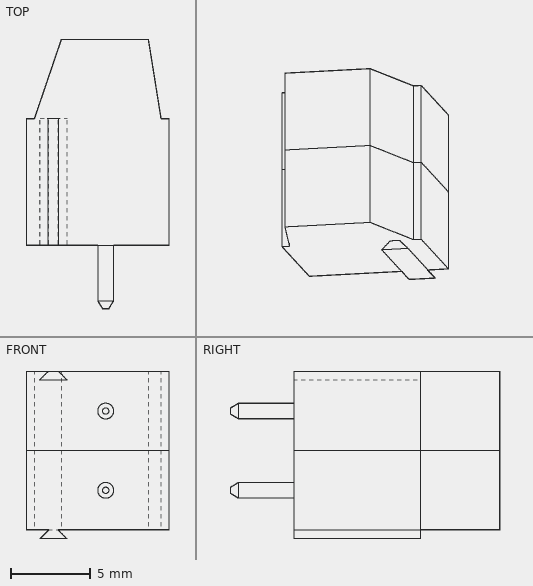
import cadquery as cq


module_height = 5.0
left_width = 5.0
right_width = 4.0
base_length = 8.0
nose_length = 5.0
shoulder_width = 0.5
nose_left_width = 2.8
nose_right_width = 2.7

dovetail_height = 0.55
dovetail_offset = 1.7
rail_neck_width = 0.6
dovetail_clearance = 0.05

pin_diameter = 1.0
pin_length = 4.0
pin_tip_length = 0.5
pin_tip_diameter = 0.4

dovetail_x = dovetail_offset - left_width
stack_height = 2 * module_height


def make_module(bottom_z):
    """Housing with a tapered nose towards +Y and its solder pin."""
    nose_end = base_length + nose_length
    housing = (
        cq.Workplane("XY")
        .workplane(offset=bottom_z)
        .moveTo(-left_width, 0)
        .lineTo(right_width, 0)
        .lineTo(right_width, base_length)
        .lineTo(right_width - shoulder_width, base_length)
        .lineTo(nose_right_width, nose_end)
        .lineTo(-nose_left_width, nose_end)
        .lineTo(-left_width + shoulder_width, base_length)
        .lineTo(-left_width, base_length)
        .close()
        .extrude(module_height)
    )
    return housing.union(make_pin(bottom_z + module_height / 2))


def make_pin(axis_z):
    """Round pin with a conical tip, pointing to -Y."""
    radius = pin_diameter / 2
    tip_radius = pin_tip_diameter / 2
    return (
        cq.Workplane("XY")
        .moveTo(0, 0)
        .lineTo(radius, 0)
        .lineTo(radius, -pin_length + pin_tip_length)
        .lineTo(tip_radius, -pin_length)
        .lineTo(0, -pin_length)
        .close()
        .revolve(360, (0, 0, 0), (0, 1, 0))
        .translate((0, 0, axis_z))
    )


def make_dovetail(neck_width, neck_z):
    """Dovetail bar with 45-degree flanks that widens downwards from neck_z."""
    half_neck = neck_width / 2
    half_foot = half_neck + dovetail_height
    foot_z = neck_z - dovetail_height
    return (
        cq.Workplane("XZ")
        .moveTo(dovetail_x - half_neck, neck_z)
        .lineTo(dovetail_x + half_neck, neck_z)
        .lineTo(dovetail_x + half_foot, foot_z)
        .lineTo(dovetail_x - half_foot, foot_z)
        .close()
        .extrude(-base_length)
    )


lower_module = make_module(0).union(make_dovetail(rail_neck_width, 0))

slot_neck_width = rail_neck_width + dovetail_clearance
upper_module = make_module(module_height).cut(make_dovetail(slot_neck_width, stack_height))

result = cq.Compound.makeCompound([lower_module.val(), upper_module.val()])